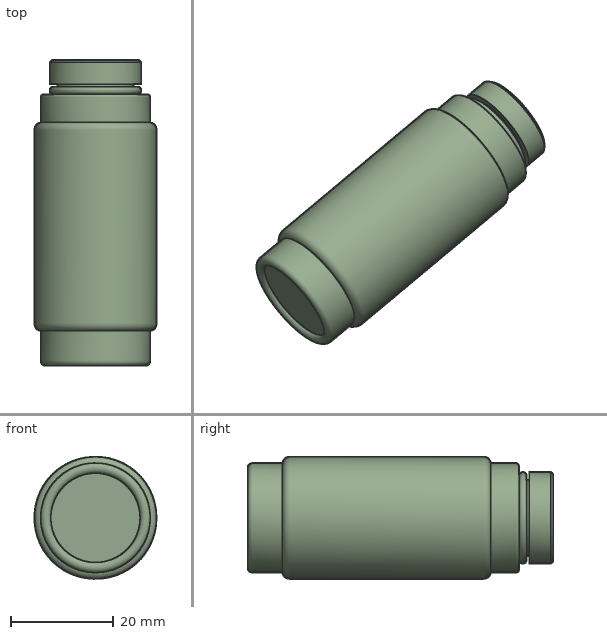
import cadquery as cq

length = 59.95
body_diameter = 21.5
sleeve_diameter = 24.0
cap_diameter = 18.0
neck_diameter = 15.0

sleeve_front = 6.8
sleeve_length = 40.9
body_back = 53.2
cap_length = 4.75

rim_radius = 1.0
sleeve_fillet = 1.5
body_back_fillet = 0.6
cap_chamfer = 0.5

ring_section_diameter = 1.5


def cylinder(diameter, start, end):
    """Solid cylinder on the Y axis between two stations."""
    base = cq.Workplane("XZ", origin=(0, start, 0))
    return base.circle(diameter / 2).extrude(start - end)


def make_body():
    """Main cylinder with a rounded back edge and a half-round rim around a recessed front face."""
    radius = body_diameter / 2
    recess_radius = radius - 2 * rim_radius
    profile = (
        cq.Workplane("XY")
        .moveTo(0, rim_radius)
        .lineTo(recess_radius, rim_radius)
        .threePointArc((radius - rim_radius, 0), (radius, rim_radius))
        .lineTo(radius, body_back)
        .lineTo(0, body_back)
        .close()
    )
    body = profile.revolve(360, (0, 0, 0), (0, 1, 0))
    return body.faces(">Y").edges().fillet(body_back_fillet)


def make_sleeve():
    """Larger cylinder around the body, rounded at both ends."""
    sleeve = cylinder(sleeve_diameter, sleeve_front, sleeve_front + sleeve_length)
    return sleeve.edges("%CIRCLE").fillet(sleeve_fillet)


def make_neck():
    """Thin neck that joins the body to the cap."""
    return cylinder(neck_diameter, body_back, length - cap_length)


def make_sealing_ring():
    """Round-section ring, as wide as the cap, with the hidden corner towards the body filled in."""
    section_radius = ring_section_diameter / 2
    outer_radius = cap_diameter / 2
    centre_radius = outer_radius - section_radius
    inner_radius = centre_radius - section_radius
    centre_station = body_back + section_radius
    profile = (
        cq.Workplane("XY")
        .moveTo(0, body_back)
        .lineTo(centre_radius, body_back)
        .threePointArc((outer_radius, centre_station), (inner_radius, centre_station))
        .lineTo(0, centre_station)
        .close()
    )
    return profile.revolve(360, (0, 0, 0), (0, 1, 0))


def make_cap():
    """End cap with a chamfered back edge."""
    cap = cylinder(cap_diameter, length - cap_length, length)
    return cap.faces(">Y").edges().chamfer(cap_chamfer)


result = make_body().union(make_sleeve()).union(make_neck()).union(make_sealing_ring()).union(make_cap())